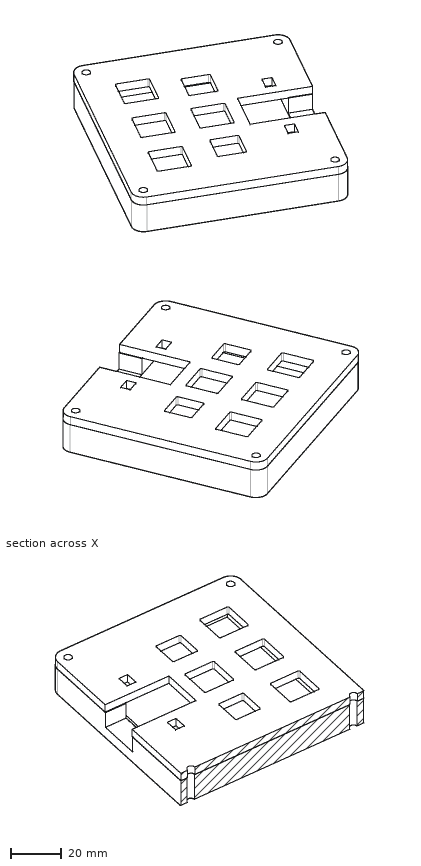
import cadquery as cq

case_width = 94.6
case_depth = 88.9
case_height = 16.7
corner_radius = 5.0
cover_thickness = 3.8
base_height = case_height - cover_thickness

layer_shift_y = 0.1

screw_hole_diameter = 3.4
screw_spacing_x = case_width - 2 * corner_radius
screw_spacing_y = case_depth - 2 * corner_radius

wall_thickness = 10.0
board_clearance = 0.5
board_thickness = 1.6
board_top = 6.1
cavity_floor = board_top - board_thickness
cavity_width = case_width - 2 * wall_thickness
cavity_depth = case_depth - 2 * wall_thickness
board_width = cavity_width - 2 * board_clearance
board_depth = cavity_depth - 2 * board_clearance

opening_width = 18.6
wall_notch_floor = 5.4
cover_rear_center_x = 0.4
cover_slot_end_y = 13.5

window_width = 5.7
window_depth = 4.2
window_offset_x = 16.65
window_center_y = 28.5

large_key_size = 14.1
small_key_size = 12.0
key_corner_radius = 0.6
key_pitch = 24.3
front_row_y = -23.6
middle_key_y = front_row_y + key_pitch
small_key_offset_x = 21.85
left_small_key_y = 1.5
right_small_key_y = 1.1

large_key_centers = [
    (-key_pitch, front_row_y),
    (0, front_row_y),
    (key_pitch, front_row_y),
    (0, middle_key_y),
]
small_key_centers = [
    (-small_key_offset_x, left_small_key_y),
    (small_key_offset_x, right_small_key_y),
]
window_centers = [
    (cover_rear_center_x - window_offset_x, window_center_y),
    (cover_rear_center_x + window_offset_x, window_center_y),
]


def block(width, depth, bottom, top):
    """Rectangular block centred in X and Y between two heights."""
    return cq.Workplane("XY").workplane(offset=bottom).rect(width, depth).extrude(top - bottom)


def case_layer(bottom, top):
    """Rounded slab of the case outline with its four screw holes."""
    slab = block(case_width, case_depth, bottom, top).edges("|Z").fillet(corner_radius)
    return (
        slab.faces(">Z")
        .workplane(origin=(0, 0, top))
        .rect(screw_spacing_x, screw_spacing_y, forConstruction=True)
        .vertices()
        .hole(screw_hole_diameter)
    )


def rear_opening(center_x, front_y, bottom, top):
    """Cutter running from front_y out through the +Y edge."""
    length = case_depth / 2 - front_y
    return block(opening_width, length, bottom, top).translate((center_x, front_y + length / 2, 0))


def make_base():
    cavity = block(cavity_width, cavity_depth, cavity_floor, base_height)
    wall_notch = rear_opening(0, cavity_depth / 2, wall_notch_floor, base_height)
    return case_layer(0, base_height).cut(cavity).cut(wall_notch)


def make_board():
    return block(board_width, board_depth, cavity_floor, board_top)


def key_cutter(size):
    return block(size, size, base_height, case_height).edges("|Z").fillet(key_corner_radius)


def make_cover():
    cover = case_layer(base_height, case_height)
    cover = cover.cut(rear_opening(cover_rear_center_x, cover_slot_end_y, base_height, case_height))
    cutouts = [
        (key_cutter(large_key_size), large_key_centers),
        (key_cutter(small_key_size), small_key_centers),
        (block(window_width, window_depth, base_height, case_height), window_centers),
    ]
    for cutter, centers in cutouts:
        for x, y in centers:
            cover = cover.cut(cutter.translate((x, y, 0)))
    return cover


base = make_base().translate((0, layer_shift_y / 2, 0))
board = make_board().translate((0, layer_shift_y / 2, 0))
cover = make_cover().translate((0, -layer_shift_y / 2, 0))

result = cq.Compound.makeCompound([base.val(), board.val(), cover.val()])